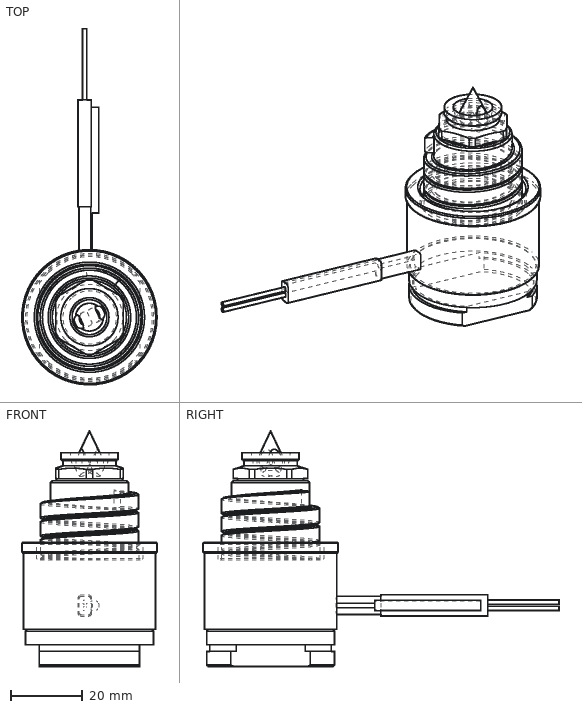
import cadquery as cq
import math

BASE_RADIUS = 18.0
BASE_CHAMFER = 0.5
FLANGE_TOP = 4.3
NECK_RADIUS = 17.1
NECK_TOP = 6.1
COLLAR_TOP = 10.0
SLEEVE_BOTTOM = 10.5
SLEEVE_RADIUS = 18.6
RIM_RADIUS = 19.0
RIM_BOTTOM = 32.2
RIM_TOP = 35.0
EDGE_BEVEL = 0.4
FLAT_DISTANCE = 14.1

RECESS_RADIUS = 14.9
RECESS_CHAMFER = 0.6
RECESS_FLOOR = 30.0
RECESS_FLOOR_BEVEL = 0.4

CORE_RADIUS = 11.0
CORE_TOP = 52.25
CORE_CHAMFER = 0.6
THREAD_RADIUS = 13.8
THREAD_PITCH = 5.1
THREAD_GAP = 0.4
THREAD_CHAMFER_RADIAL = 0.6
THREAD_CHAMFER_AXIAL = 0.4
THREAD_TURNS = 4
THREAD_END_ANGLE = 51.5
THREAD_END_TOP = 49.4
THREAD_ROOT_BEVEL_RADIAL = 0.6
THREAD_ROOT_BEVEL_AXIAL = 0.3
THREAD_ROOT_OVERLAP = 0.2

HEX_NECK_RADIUS = 9.3
HEX_FLATS = 19.0
HEX_CORNER_RADIUS = 10.5
HEX_BOTTOM = 52.8
HEX_TOP = 55.4
GROOVE_RADIUS = 7.5
GROOVE_BOTTOM = 56.4
GROOVE_TOP = 57.8
LIP_RADIUS = 8.05
LIP_BOTTOM = 58.2
HEAD_TOP = 60.1
BORE_TOP_RADIUS = 5.5
BORE_FLOOR_RADIUS = 4.9
BORE_FLOOR = 56.5

TIP_Z = 66.2
NEEDLE_RADIUS = 3.9
NEEDLE_HALF_ANGLE = 25.5
CHANNEL_RADIUS = 2.1
CHANNEL_ANGLE = 205.0
CHANNEL_TILT = 30.0
CHANNEL_EXIT_RADIUS = 3.6
CHANNEL_EXIT_Z = 58.8
CHANNEL_DEPTH = 5.0
CHANNEL_OVERSHOOT = 5.0

CABLE_X = -1.35
CABLE_Z = 17.2
CABLE_WIDTH = 3.3
CABLE_HEIGHT = 5.2
CABLE_CORNER = 0.75
CABLE_ROOT_Y = 15.0
SHEATH_WIDTH = 3.8
SHEATH_HEIGHT = 6.0
SHEATH_CORNER = 0.95
SHEATH_START_Y = 31.0
SHEATH_END_Y = 61.0
WIRE_Z = 17.25
WIRE_RADIUS = 0.63
WIRE_SPACING = 1.8
WIRE_END_Y = 81.0
TUBE_X = 1.2
TUBE_Z = 17.2
TUBE_RADIUS = 1.45
TUBE_START_Y = 29.2
TUBE_END_Y = 59.0
LEAD_X = 0.1
LEAD_RADIUS = 0.7


def along_y(x, z, start_y):
    """Work plane facing +Y, with local x along +X and local y along -Z."""
    return cq.Workplane(cq.Plane((x, start_y, z), (1, 0, 0), (0, 1, 0)))


def rounded_bar(x, z, width, height, corner, start_y, end_y):
    bar = along_y(x, z, start_y).rect(width, height).extrude(end_y - start_y)
    return bar.edges("|Y").fillet(corner)


def round_bar(x, z, radius, start_y, end_y):
    return along_y(x, z, start_y).circle(radius).extrude(end_y - start_y)


def revolve_profile(points):
    return cq.Workplane("XZ").polyline(points).close().revolve(360, (0, 0), (0, 1))


def turned_body():
    return revolve_profile([
        (0, 0),
        (BASE_RADIUS - BASE_CHAMFER, 0),
        (BASE_RADIUS, BASE_CHAMFER),
        (BASE_RADIUS, FLANGE_TOP),
        (NECK_RADIUS, FLANGE_TOP),
        (NECK_RADIUS, NECK_TOP),
        (BASE_RADIUS, NECK_TOP),
        (BASE_RADIUS, COLLAR_TOP),
        (BASE_RADIUS - EDGE_BEVEL, SLEEVE_BOTTOM),
        (SLEEVE_RADIUS, SLEEVE_BOTTOM),
        (SLEEVE_RADIUS, RIM_BOTTOM - EDGE_BEVEL),
        (RIM_RADIUS, RIM_BOTTOM),
        (RIM_RADIUS, RIM_TOP - EDGE_BEVEL),
        (RIM_RADIUS - EDGE_BEVEL, RIM_TOP),
        (RECESS_RADIUS + RECESS_CHAMFER, RIM_TOP),
        (RECESS_RADIUS, RIM_TOP - RECESS_CHAMFER),
        (RECESS_RADIUS, RECESS_FLOOR + RECESS_FLOOR_BEVEL),
        (RECESS_RADIUS - RECESS_FLOOR_BEVEL, RECESS_FLOOR),
        (CORE_RADIUS, RECESS_FLOOR),
        (CORE_RADIUS, CORE_TOP - CORE_CHAMFER),
        (CORE_RADIUS - CORE_CHAMFER, CORE_TOP),
        (0, CORE_TOP),
    ])


def wrench_flat(side):
    """Cutter for the flat on the -X or +X side of the base."""
    depth = BASE_RADIUS - FLAT_DISTANCE
    center_x = side * (FLAT_DISTANCE + depth / 2)
    return cq.Workplane("XY").center(center_x, 0).rect(depth, 2 * BASE_RADIUS).extrude(NECK_TOP)


def thread():
    """Right-handed ridge with bevelled crest edges and upper root, ending squarely at the top."""
    half_root = (THREAD_PITCH - THREAD_GAP) / 2
    half_crest = half_root - THREAD_CHAMFER_AXIAL
    root = CORE_RADIUS - THREAD_ROOT_OVERLAP
    shoulder = THREAD_RADIUS - THREAD_CHAMFER_RADIAL
    height = THREAD_PITCH * THREAD_TURNS
    path = cq.Workplane(obj=cq.Wire.makeHelix(THREAD_PITCH, height, THREAD_RADIUS))
    ridge = (
        cq.Workplane("XZ")
        .polyline([
            (root, -half_root),
            (shoulder, -half_root),
            (THREAD_RADIUS, -half_crest),
            (THREAD_RADIUS, half_crest),
            (shoulder, half_root),
            (CORE_RADIUS + THREAD_ROOT_BEVEL_RADIAL, half_root),
            (root, half_root + THREAD_ROOT_BEVEL_AXIAL),
        ])
        .close()
        .sweep(path, isFrenet=True)
    )
    start_z = THREAD_END_TOP - half_root - height
    return ridge.rotate((0, 0, 0), (0, 0, 1), THREAD_END_ANGLE).translate((0, 0, start_z))


def nozzle_head():
    turned = revolve_profile([
        (0, CORE_TOP),
        (HEX_NECK_RADIUS, CORE_TOP),
        (HEX_NECK_RADIUS, HEX_BOTTOM),
        (HEX_CORNER_RADIUS, HEX_BOTTOM),
        (HEX_CORNER_RADIUS, HEX_TOP),
        (GROOVE_RADIUS, GROOVE_BOTTOM),
        (GROOVE_RADIUS, GROOVE_TOP),
        (LIP_RADIUS, LIP_BOTTOM),
        (LIP_RADIUS, HEAD_TOP),
        (BORE_TOP_RADIUS, HEAD_TOP),
        (BORE_FLOOR_RADIUS, BORE_FLOOR),
        (0, BORE_FLOOR),
    ])
    hexagon = (
        cq.Workplane("XY", origin=(0, 0, CORE_TOP))
        .polygon(6, HEX_FLATS, circumscribed=True)
        .extrude(HEAD_TOP - CORE_TOP)
    )
    return turned.intersect(hexagon)


def needle():
    cone_bottom = TIP_Z - NEEDLE_RADIUS / math.tan(math.radians(NEEDLE_HALF_ANGLE))
    return revolve_profile([
        (0, BORE_FLOOR),
        (NEEDLE_RADIUS, BORE_FLOOR),
        (NEEDLE_RADIUS, cone_bottom),
        (0, TIP_Z),
    ])


def melt_channel(angle):
    """Cutter for a bore rising outward through the needle flank, kept clear of the head wall."""
    tilt = math.radians(CHANNEL_TILT)
    axis = cq.Vector(math.sin(tilt), 0, math.cos(tilt))
    mouth = cq.Vector(CHANNEL_EXIT_RADIUS, 0, CHANNEL_EXIT_Z)
    start = mouth - axis * CHANNEL_DEPTH
    bore = cq.Solid.makeCylinder(CHANNEL_RADIUS, CHANNEL_DEPTH + CHANNEL_OVERSHOOT, start, axis)
    reach = (NEEDLE_RADIUS + BORE_FLOOR_RADIUS) / 2
    limit = cq.Workplane("XY", origin=(0, 0, CORE_TOP)).circle(reach).extrude(TIP_Z - CORE_TOP)
    return cq.Workplane(obj=bore).intersect(limit).rotate((0, 0, 0), (0, 0, 1), angle)


def cable():
    bundle = rounded_bar(
        CABLE_X, CABLE_Z, CABLE_WIDTH, CABLE_HEIGHT, CABLE_CORNER, CABLE_ROOT_Y, SHEATH_END_Y
    )
    bundle = bundle.union(rounded_bar(
        CABLE_X, CABLE_Z, SHEATH_WIDTH, SHEATH_HEIGHT, SHEATH_CORNER, SHEATH_START_Y, SHEATH_END_Y
    ))
    for side in (-1, 1):
        wire_z = WIRE_Z + side * WIRE_SPACING / 2
        bundle = bundle.union(round_bar(CABLE_X, wire_z, WIRE_RADIUS, SHEATH_START_Y, WIRE_END_Y))
    bundle = bundle.union(round_bar(LEAD_X, TUBE_Z, LEAD_RADIUS, CABLE_ROOT_Y, TUBE_END_Y))
    return bundle.union(round_bar(TUBE_X, TUBE_Z, TUBE_RADIUS, TUBE_START_Y, TUBE_END_Y))


body = turned_body()
for flat_side in (-1, 1):
    body = body.cut(wrench_flat(flat_side))

head = nozzle_head().union(needle())
for channel_angle in (CHANNEL_ANGLE, CHANNEL_ANGLE + 180):
    head = head.cut(melt_channel(channel_angle))

result = body.union(thread()).union(head).union(cable())